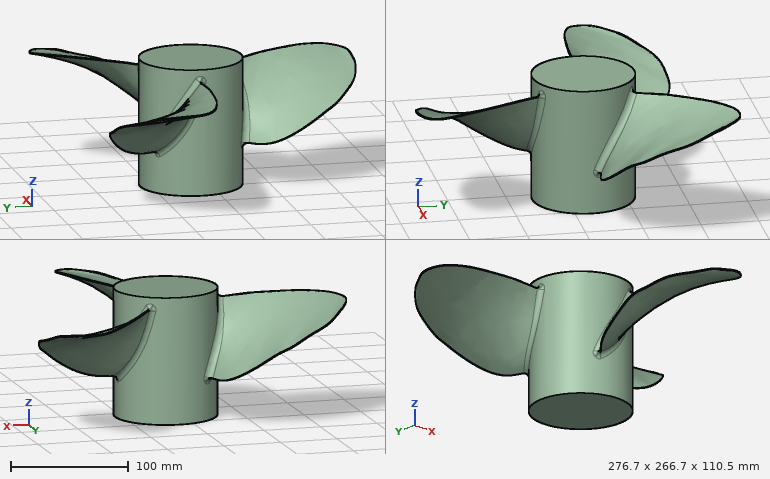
import cadquery as cq
import math

HUB_RADIUS = 44.3
HUB_HEIGHT = 110.48

BLADE_COUNT = 3
BLADE_SPACING = 360 / BLADE_COUNT
EDGE_THICKNESS = 1.0
ROOT_FILLET = 5.0

ON_WALL_TOLERANCE = 0.05

SECTIONS = [
    (30.0, -20.0, 37.8, 22.0, 100.0, 9.2),
    (45.8, -20.0, 37.8, 22.4, 100.5, 8.6),
    (61.3, -32.7, 39.6, 32.0, 101.8, 7.4),
    (78.5, -39.6, 47.4, 41.2, 102.2, 6.2),
    (95.6, -41.6, 58.1, 49.2, 102.3, 4.4),
    (111.6, -38.9, 68.4, 55.4, 102.0, 2.9),
    (125.4, -29.3, 76.1, 58.6, 101.0, 1.6),
    (137.2, -15.0, 83.3, 57.0, 99.6, 0.9),
    (142.0, -5.5, 86.0, 53.5, 99.0, 0.6),
    (146.6, 9.0, 91.0, 46.0, 98.4, 0.4),
    (148.5, 24.0, 94.5, 36.0, 97.0, 0.1),
]
BELLY_SKEW = 0.4
CROWN_SHARE = 0.2
SECTION_STEPS = 8


def section_wire(section):
    """Closed blade section: gently crowned top, fuller belly below and thin square edges."""
    distance, low_x, low_z, high_x, high_z, belly = section
    chord = cq.Vector(high_x - low_x, 0, high_z - low_z)
    plane = cq.Plane(origin=(low_x, -distance, low_z), xDir=chord, normal=(0, -1, 0))
    top = []
    bottom = []
    for step in range(SECTION_STEPS + 1):
        share = step / SECTION_STEPS
        along = share * chord.Length
        fullness = 4 * share * (1 - share)
        top.append((along, CROWN_SHARE * belly * fullness))
        skew = 1 + BELLY_SKEW * (1 - 2 * share)
        bottom.append((along, -EDGE_THICKNESS - belly * fullness * skew))
    bottom.reverse()
    outline = cq.Workplane(plane).spline(top).lineTo(*bottom[0])
    return outline.spline(bottom[1:], includeCurrent=True).close().val()


def make_blade():
    """Twisted blade reaching along -Y, lofted from inside the hub to the narrow tip section."""
    wires = [section_wire(section) for section in SECTIONS]
    return cq.Workplane(obj=cq.Solid.makeLoft(wires))


def is_root_edge(edge):
    """True for a blade joint on the hub wall; the wall's own seam is straight and its rims are circles."""
    middle = edge.positionAt(0.5)
    wall_gap = abs(math.hypot(middle.x, middle.y) - HUB_RADIUS)
    return wall_gap < ON_WALL_TOLERANCE and edge.geomType() == "BSPLINE"


def blend_roots(body):
    """Fillet the joint of every blade with the hub."""
    roots = [edge for edge in body.edges().vals() if is_root_edge(edge)]
    return body.newObject(roots).fillet(ROOT_FILLET)


hub = cq.Workplane("XY").circle(HUB_RADIUS).extrude(HUB_HEIGHT)
blade = make_blade()

result = hub
for number in range(BLADE_COUNT):
    result = result.union(blade.rotate((0, 0, 0), (0, 0, 1), number * BLADE_SPACING))
result = blend_roots(result)